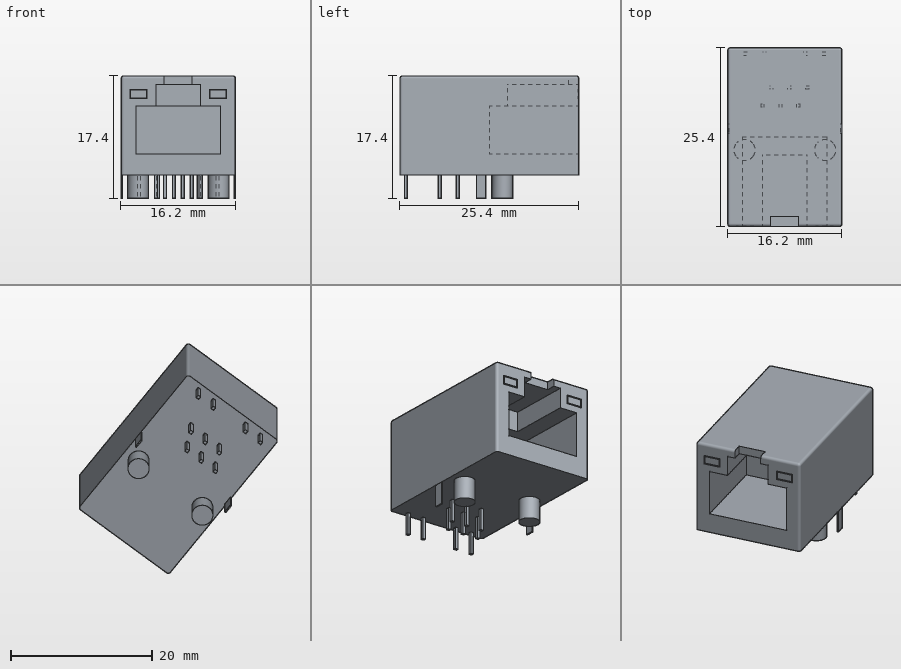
import cadquery as cq


overall_width = 16.23
body_width = 16.2
body_length = 25.4
overall_height = 17.4
pin_length = 3.33
body_height = overall_height - pin_length
edge_radius = 0.4
front_y = -body_length / 2

plug_width = 12.0
plug_floor = 3.0
plug_height = 6.8
plug_top = plug_floor + plug_height
cavity_depth = 12.7
latch_x = -0.038
latch_width = 6.3
latch_top = 12.85
latch_depth = 10.15
notch_width = 4.01
notch_depth = 1.47

window_width = 2.45
window_height = 1.3
window_spacing = 11.28
window_z = 11.5
groove_width = 0.09
groove_depth = 0.13

post_diameter = 3.0
post_spacing = 11.43
post_y = -1.83

pin_size = 0.45
contact_count = 6
contact_pitch = 1.27
front_row_y = 4.5
row_spacing = 2.55

inner_pin_spacing = 5.77
outer_pin_spacing = 11.13
indicator_pin_y = 11.84

tab_thickness = 0.2
tab_width = 1.32
tab_y = 1.17


def front_pocket(width, bottom, top, depth, x=0.0):
    """Box reaching from the front face back into the housing."""
    return (
        cq.Workplane("XY")
        .box(width, depth, top - bottom, centered=(True, False, False))
        .translate((x, front_y, bottom))
    )


def leg(x, y, size_x, size_y):
    """Rectangular leg hanging from the underside."""
    return cq.Workplane("XY").center(x, y).rect(size_x, size_y).extrude(-pin_length)


def window_block(x, inset):
    """Shallow block over a window, shrunk on every side by the inset."""
    half_height = window_height / 2 - inset
    width = window_width - 2 * inset
    return front_pocket(width, window_z - half_height, window_z + half_height, groove_depth, x)


def window_groove(x):
    """Rectangular ring centred on a window."""
    return window_block(x, 0).cut(window_block(x, groove_width))


result = cq.Workplane("XY").box(body_width, body_length, body_height, centered=(True, True, False))
result = result.edges("|Z or >Z").fillet(edge_radius)

result = result.cut(front_pocket(plug_width, plug_floor, plug_top, cavity_depth))
result = result.cut(front_pocket(latch_width, plug_top, latch_top, latch_depth, latch_x))
result = result.cut(front_pocket(notch_width, latch_top, body_height, notch_depth, latch_x))

for side in (-1, 1):
    result = result.cut(window_groove(side * window_spacing / 2))
    post = cq.Workplane("XY").center(side * post_spacing / 2, post_y)
    result = result.union(post.circle(post_diameter / 2).extrude(-pin_length))
    for spacing in (inner_pin_spacing, outer_pin_spacing):
        result = result.union(leg(side * spacing / 2, indicator_pin_y, pin_size, pin_size))
    tab_x = side * (overall_width - tab_thickness) / 2
    result = result.union(leg(tab_x, tab_y, tab_thickness, tab_width))

for index in range(contact_count):
    contact_x = (index - (contact_count - 1) / 2) * contact_pitch
    contact_y = front_row_y + (index % 2) * row_spacing
    result = result.union(leg(contact_x, contact_y, pin_size, pin_size))